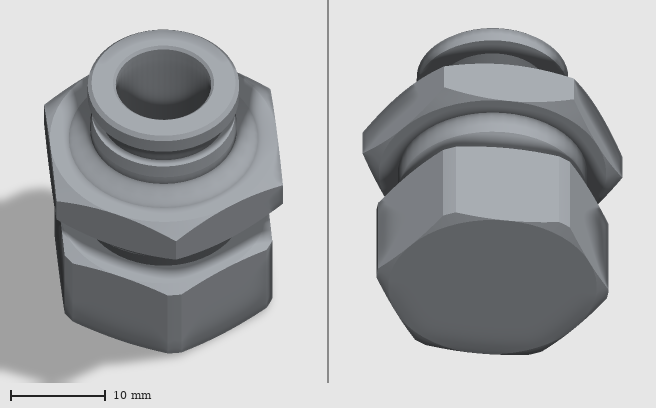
import cadquery as cq
import math

lower_hex_top = 10.0
neck_top = 11.57
shoulder_bottom = 13.0
upper_hex_bottom = 15.65
upper_hex_top = 20.65
cone_top = 21.95
collar_taper_start = 22.97
collar_top = 24.47
sleeve_top = 26.15
flange_bottom = 27.25
total_height = 29.3

neck_radius = 8.47
shoulder_radius = 10.0
collar_radius = 7.74
collar_top_radius = 7.55
sleeve_radius = 6.65
stem_radius = 5.85
flange_radius = 8.0
flange_chamfer = 0.4

upper_hex_flats = 24.0
upper_hex_chamfer_angle = 30.0
lower_hex_flats = 22.0
lower_hex_corner_radius = 12.3
lower_hex_chamfer_angle = 20.0

bore_radius = 5.05
bore_chamfer = 0.3
bore_floor = lower_hex_top


def revolve_profile(points):
    """Revolve a closed (radius, height) outline about the Z axis."""
    return cq.Workplane("XZ").polyline(points).close().revolve(360, (0, 0), (0, 1))


def chamfered_hexagon(bottom, top, flats, corner_radius, chamfer_angle):
    """Hexagonal prism with corners on the X axis, its corners trimmed by a coned cylinder."""
    sharp_corner_radius = flats / math.sqrt(3)
    prism = (
        cq.Workplane("XY", origin=(0, 0, bottom))
        .polygon(6, 2 * sharp_corner_radius)
        .extrude(top - bottom)
    )
    end_radius = flats / 2
    drop = (corner_radius - end_radius) * math.tan(math.radians(chamfer_angle))
    envelope = revolve_profile([
        (0, bottom),
        (end_radius, bottom),
        (corner_radius, bottom + drop),
        (corner_radius, top - drop),
        (end_radius, top),
        (0, top),
    ])
    return prism.intersect(envelope)


def round_body():
    """All the stepped and conical round sections in one revolved solid."""
    return revolve_profile([
        (0, 0),
        (neck_radius, 0),
        (neck_radius, neck_top),
        (shoulder_radius, shoulder_bottom),
        (shoulder_radius, upper_hex_top),
        (collar_radius, cone_top),
        (collar_radius, collar_taper_start),
        (collar_top_radius, collar_top),
        (sleeve_radius, collar_top),
        (sleeve_radius, sleeve_top),
        (stem_radius, sleeve_top),
        (stem_radius, flange_bottom),
        (flange_radius, flange_bottom),
        (flange_radius, total_height - flange_chamfer),
        (flange_radius - flange_chamfer, total_height),
        (0, total_height),
    ])


def tube_bore():
    """Blind bore with a chamfered mouth."""
    return revolve_profile([
        (0, bore_floor),
        (bore_radius, bore_floor),
        (bore_radius, total_height - bore_chamfer),
        (bore_radius + bore_chamfer, total_height),
        (0, total_height),
    ])


lower_hex = chamfered_hexagon(
    0, lower_hex_top, lower_hex_flats, lower_hex_corner_radius, lower_hex_chamfer_angle
)
upper_hex = chamfered_hexagon(
    upper_hex_bottom,
    upper_hex_top,
    upper_hex_flats,
    upper_hex_flats / math.sqrt(3),
    upper_hex_chamfer_angle,
)

result = round_body().union(lower_hex).union(upper_hex).cut(tube_bore())